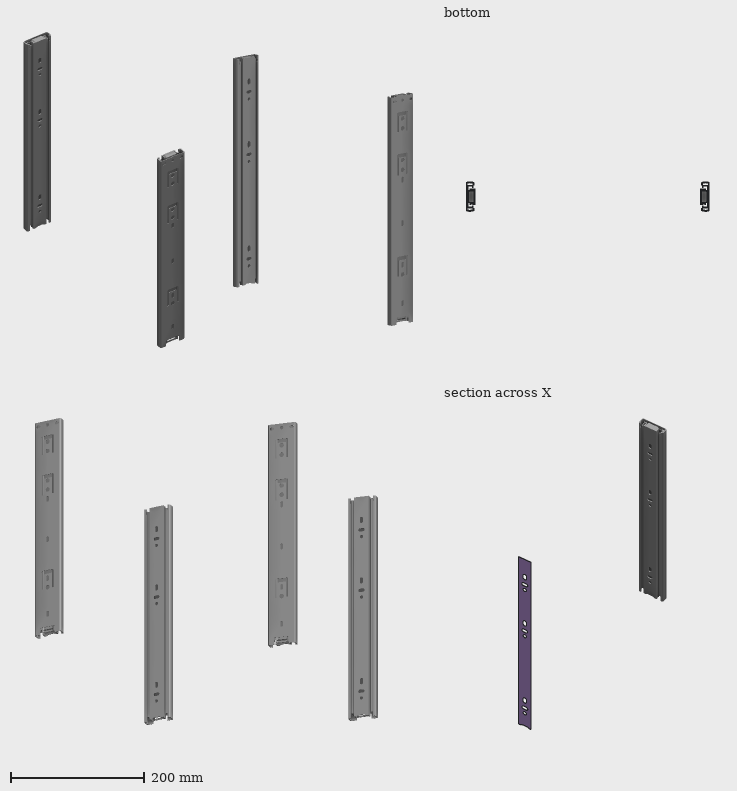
import cadquery as cq

pair_width = 364.0
outer_height = 44.0
rail_length = 350.0
rail_top = rail_length / 2
wall_x = -pair_width / 2

along_y = 0
along_z = 90

outer_web_sheet = 0.65
outer_flange_sheet = 1.65
outer_depth = 11.3
outer_half = outer_height / 2
corner_cut = 1.4
crown_rise = 0.1
groove_rise = 0.55
crown_start = 3.0
crown_end = 7.0
flange_end = 9.5
lip_drop = 4.5
lip_thickness = 1.5

middle_sheet = 0.9
middle_web_x = 1.65
middle_step = 0.9
middle_panel_half = 7.3
middle_step_half = 8.7
middle_half = 16.7
middle_depth = 10.0
middle_lip = 3.0
middle_top_gap = 4.5
middle_bottom_gap = 3.3
middle_relief_gap = 8.0
middle_tab_half = 10.5
middle_slot_length = 16.7
middle_slot_width = 2.2
middle_slot_z = -168.0

drawer_web_sheet = 1.27
drawer_flange_sheet = 2.0
drawer_groove_depth = 0.5
drawer_groove_start = 6.5
drawer_groove_end = 10.2
drawer_back_x = 5.5
drawer_front_x = 12.7
drawer_half = 11.5
drawer_end_gap = 2.0

block_half = 9.0
block_length = 18.2
block_corner = 1.0
block_slope_width = 1.5
block_slope_drop = 1.0

tongue_half = 7.3
tongue_slot_width = 3.0
tongue_end_gap = 6.0
tongue_corner = 1.5
round_hole = 7.0
slot_width = 4.5
slot_length = 9.0
tongue_cuts = [(150.7, 30.2), (86.5, 32.8), (-71.0, 30.2)]
round_hole_zs = [140.0, 125.2, 76.5, 61.5, -99.5]
slot_zs = [46.2, -20.5, -84.5, -143.5]
end_hole = 5.0
end_hole_z = 168.0
end_slot_y = 15.5
end_slot_length = 6.5
outer_notch_half = 12.0
outer_notch_height = 11.0

drawer_group_zs = [122.3, 26.2, -134.0]
drawer_hole = 5.0
drawer_slot_length = 10.0
drawer_slot_rise = 15.5
drawer_hole_drop = 11.0

end_notch_half = 11.0
end_notch_rise = 3.5
end_notch_top_half = 4.5


def extrude_along_rail(profile, length):
    """Extrudes an X-Y profile upwards from the bottom end of the rails."""
    return profile.close().extrude(length).translate((wall_x, 0, -rail_top))


def web_cutter(sketch):
    """Turns a sketch on the Y-Z plane into a cutter that spans one slide's depth."""
    return sketch.extrude(drawer_front_x).translate((wall_x, 0, 0))


def mirrored_halves(half):
    """Joins a half channel with its mirror image across the X-Z plane."""
    return half.union(half.mirror("XZ"))


def slot_cutter(y, z, length, width, angle):
    """Round-ended slot, turned by an angle in degrees from the Y axis."""
    return web_cutter(cq.Workplane("YZ").center(y, z).slot2D(length, width, angle))


def hole_cutter(y, z, diameter):
    return web_cutter(cq.Workplane("YZ").center(y, z).circle(diameter / 2))


def tongue_cutter(top, length):
    """U-shaped cut that leaves a tongue joined to the web at its lower end."""
    cut_half = tongue_half + tongue_slot_width
    outside = (
        web_cutter(cq.Workplane("YZ").center(0, top - length / 2).rect(2 * cut_half, length))
        .edges("|X and >Z")
        .chamfer(tongue_corner)
    )
    tongue_length = length - tongue_end_gap
    tongue = web_cutter(
        cq.Workplane("YZ")
        .center(0, top - length + tongue_length / 2)
        .rect(2 * tongue_half, tongue_length)
    )
    return outside.cut(tongue)


def end_notch_cutter():
    """Trapezoidal notch, open at the bottom end."""
    bottom = -rail_top
    notch = (
        cq.Workplane("YZ")
        .moveTo(-end_notch_half, bottom)
        .lineTo(-end_notch_top_half, bottom + end_notch_rise)
        .lineTo(end_notch_top_half, bottom + end_notch_rise)
        .lineTo(end_notch_half, bottom)
        .close()
    )
    return web_cutter(notch)


def make_outer_rail():
    land = outer_half - crown_rise
    inside = land - outer_flange_sheet
    crown_middle = (crown_start + crown_end) / 2
    lip_bottom = outer_half - lip_drop
    half = (
        cq.Workplane("XY")
        .moveTo(0, 0)
        .lineTo(0, land - corner_cut)
        .lineTo(corner_cut, land)
        .lineTo(crown_start, land)
        .threePointArc((crown_middle, outer_half), (crown_end, land))
        .lineTo(flange_end, land)
        .lineTo(outer_depth, land - corner_cut)
        .lineTo(outer_depth, lip_bottom)
        .lineTo(outer_depth - lip_thickness, lip_bottom)
        .lineTo(outer_depth - lip_thickness, inside)
        .lineTo(crown_end, inside)
        .threePointArc((crown_middle, inside + groove_rise), (crown_start, inside))
        .lineTo(outer_web_sheet, inside)
        .lineTo(outer_web_sheet, 0)
    )
    rail = mirrored_halves(extrude_along_rail(half, rail_length))

    for top, length in tongue_cuts:
        rail = rail.cut(tongue_cutter(top, length))
    for z in round_hole_zs:
        rail = rail.cut(hole_cutter(0, z, round_hole))
    for z in slot_zs:
        rail = rail.cut(slot_cutter(0, z, slot_length, slot_width, along_z))
    rail = rail.cut(hole_cutter(0, end_hole_z, end_hole))
    for y in (-end_slot_y, end_slot_y):
        rail = rail.cut(slot_cutter(y, end_hole_z, end_slot_length, slot_width, along_y))

    notch = cq.Workplane("YZ").center(0, -rail_top).rect(2 * outer_notch_half, 2 * outer_notch_height)
    return rail.cut(web_cutter(notch))


def make_middle_rail():
    panel_x = middle_web_x + middle_step
    web_back = middle_web_x + middle_sheet
    panel_back = panel_x + middle_sheet
    flange_inside = middle_half - middle_sheet
    lip_end = middle_half - middle_lip
    half = (
        cq.Workplane("XY")
        .moveTo(panel_x, 0)
        .lineTo(panel_x, middle_panel_half)
        .lineTo(middle_web_x, middle_step_half)
        .lineTo(middle_web_x, middle_half)
        .lineTo(middle_depth, middle_half)
        .lineTo(middle_depth, lip_end)
        .lineTo(middle_depth - middle_sheet, lip_end)
        .lineTo(middle_depth - middle_sheet, flange_inside)
        .lineTo(web_back, flange_inside)
        .lineTo(web_back, middle_step_half)
        .lineTo(panel_back, middle_panel_half)
        .lineTo(panel_back, 0)
    )
    rail = mirrored_halves(extrude_along_rail(half, rail_length - middle_bottom_gap - middle_top_gap))
    rail = rail.translate((0, 0, middle_bottom_gap))

    relief_width = middle_half - middle_tab_half
    for side in (-1, 1):
        relief_y = side * (middle_tab_half + relief_width / 2)
        relief = cq.Workplane("YZ").center(relief_y, -rail_top).rect(relief_width, 2 * middle_relief_gap)
        rail = rail.cut(web_cutter(relief))
    return rail.cut(slot_cutter(0, middle_slot_z, middle_slot_length, middle_slot_width, along_y))


def make_drawer_rail():
    web_back = drawer_front_x - drawer_web_sheet
    groove_middle = (drawer_groove_start + drawer_groove_end) / 2
    groove_floor = drawer_half - drawer_groove_depth
    flange_inside = drawer_half - drawer_flange_sheet
    half = (
        cq.Workplane("XY")
        .moveTo(drawer_front_x, 0)
        .lineTo(drawer_front_x, drawer_half)
        .lineTo(drawer_groove_end, drawer_half)
        .threePointArc((groove_middle, groove_floor), (drawer_groove_start, drawer_half))
        .lineTo(drawer_back_x, drawer_half)
        .lineTo(drawer_back_x, flange_inside)
        .lineTo(web_back, flange_inside)
        .lineTo(web_back, 0)
    )
    rail = mirrored_halves(extrude_along_rail(half, rail_length - drawer_end_gap))
    rail = rail.translate((0, 0, drawer_end_gap))

    for z in drawer_group_zs:
        rail = rail.cut(slot_cutter(0, z + drawer_slot_rise, drawer_slot_length, drawer_hole, along_z))
        rail = rail.cut(slot_cutter(0, z, drawer_slot_length, drawer_hole, along_y))
        rail = rail.cut(hole_cutter(0, z - drawer_hole_drop, drawer_hole))
    return rail.cut(end_notch_cutter())


def make_stop_block():
    """Block between the middle and drawer rail webs, sloped along the top of its -Y side."""
    back_x = middle_web_x + middle_step + middle_sheet
    front_x = drawer_front_x - drawer_web_sheet
    outline = (
        cq.Workplane("YZ")
        .moveTo(block_half, rail_top - block_length)
        .lineTo(block_half, rail_top)
        .lineTo(-block_half + block_slope_width, rail_top)
        .lineTo(-block_half, rail_top - block_slope_drop)
        .lineTo(-block_half, rail_top - block_length)
        .close()
    )
    block = outline.extrude(front_x - back_x).translate((wall_x + back_x, 0, 0))
    return block.edges("<X and >Y").chamfer(block_corner)


left_slide = [make_outer_rail(), make_middle_rail(), make_drawer_rail(), make_stop_block()]

bodies = []
for body in left_slide:
    bodies.append(body.val())
    bodies.append(body.mirror("YZ").val())

result = cq.Compound.makeCompound(bodies)